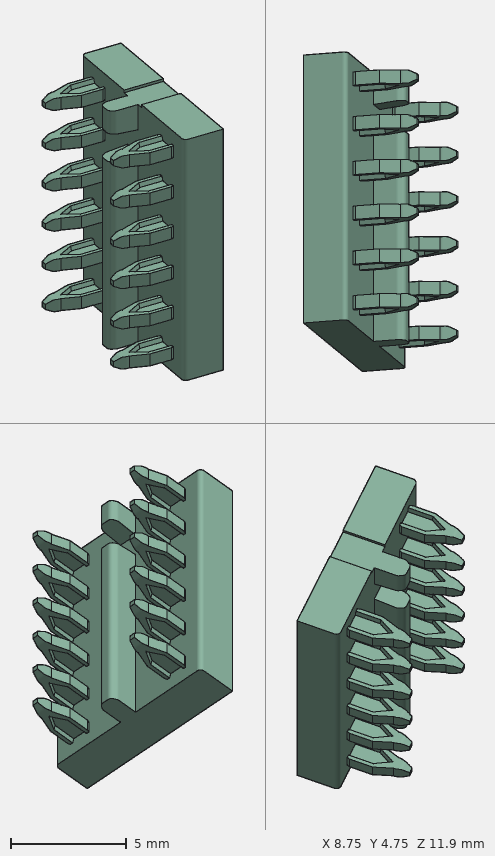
import cadquery as cq

WIDTH = 8.75
HEIGHT = 11.95
TOTAL_DEPTH = 4.75
REAR_PAD = 0.02
BODY_DEPTH = 1.97
EDGE_RADIUS = 0.22
NOTCH_WIDTH = 1.48
NOTCH_DEPTH = 0.13

PIN_ROWS = 6
PIN_PITCH = 2.0
COLUMN_SPACING = 5.83
PIN_WIDTH = 1.2
PIN_THICKNESS = 0.6
PIN_LENGTH = TOTAL_DEPTH - REAR_PAD - BODY_DEPTH
EMBED = 0.12
ROOT_WIDTH = 1.11
ROOT_LENGTH = 0.12
SHOULDER_AT = 1.2
NECK_AT = 2.05
NECK_WIDTH = 0.6
NECK_END_AT = 2.15
TIP_WIDTH = 0.27
TIP_THICKNESS = 0.25
TIP_SLOPE_AT = 2.39
TIP_RADIUS = 0.3

RECESS_WIDTH = 0.84
RECESS_DEPTH = 0.2
RECESS_WALL_RUN = 0.07
RECESS_POINT_RUN = 0.14
RECESS_SHOULDER_AT = 1.16
RECESS_POINT_AT = 1.9

RIB_WIDTH = 0.91
RIB_HEIGHT = 1.4
RIB_BEVEL_RUN = 0.15
RIB_BEVEL_DROP = 0.31
RIB_RADIUS = 0.24
RIB_END_DRAFT = 0.12
UPPER_RIB_LENGTH = 1.25
RIB_GAP = 1.16

TOP = HEIGHT / 2
COLUMN_XS = (-COLUMN_SPACING / 2, COLUMN_SPACING / 2)
ROW_ZS = [PIN_PITCH * (row - (PIN_ROWS - 1) / 2) for row in range(PIN_ROWS)]


def make_body():
    """Block with a shallow notch across its top and a thin pad behind the pins."""
    body = cq.Workplane("XY").box(WIDTH, BODY_DEPTH, HEIGHT).translate((0, BODY_DEPTH / 2, 0))
    body = body.edges("|Z and <Y").fillet(EDGE_RADIUS)
    notch = cq.Workplane("XY").box(NOTCH_WIDTH, 3 * BODY_DEPTH, 2 * NOTCH_DEPTH).translate((0, 0, TOP))
    pad_width = COLUMN_SPACING + PIN_WIDTH
    pad_height = PIN_PITCH * (PIN_ROWS - 1) + PIN_WIDTH
    pad = cq.Workplane("XY").box(pad_width, 2 * REAR_PAD, pad_height).translate((0, BODY_DEPTH, 0))
    return body.cut(notch).union(pad)


def make_rib(root_low, root_high, draft_low, draft_high):
    """Rib between two heights; each end leans inward by its draft at the crest."""
    side = [
        (EMBED, root_low),
        (0, root_low),
        (-RIB_HEIGHT, root_low + draft_low),
        (-RIB_HEIGHT, root_high - draft_high),
        (0, root_high),
        (EMBED, root_high),
    ]
    blank = cq.Workplane("YZ").polyline(side).close().extrude(RIB_WIDTH / 2, both=True)
    half_width = RIB_WIDTH / 2
    bevel_y = RIB_BEVEL_DROP - RIB_HEIGHT
    crest_half = half_width - RIB_BEVEL_RUN
    section = [
        (half_width, EMBED),
        (half_width, bevel_y),
        (crest_half, -RIB_HEIGHT),
        (-crest_half, -RIB_HEIGHT),
        (-half_width, bevel_y),
        (-half_width, EMBED),
    ]
    rounded = (
        cq.Workplane("XY")
        .workplane(offset=root_low)
        .polyline(section)
        .close()
        .extrude(root_high - root_low)
        .edges("|Z")
        .edges("not >Y")
        .fillet(RIB_RADIUS)
    )
    return blank.intersect(rounded)


def make_recess(floor_z, face_z):
    """Pointed pocket that widens from its floor to the flat face of the pin."""

    def outline(half_width, point):
        return [
            (-half_width, EMBED),
            (-half_width, -RECESS_SHOULDER_AT),
            (0, -point),
            (half_width, -RECESS_SHOULDER_AT),
            (half_width, EMBED),
        ]

    top_half = RECESS_WIDTH / 2
    floor_half = top_half - RECESS_WALL_RUN
    floor_point = RECESS_POINT_AT - RECESS_POINT_RUN
    return (
        cq.Workplane("XY")
        .workplane(offset=floor_z)
        .polyline(outline(floor_half, floor_point))
        .close()
        .workplane(offset=face_z - floor_z)
        .polyline(outline(top_half, RECESS_POINT_AT))
        .close()
        .loft(ruled=True)
    )


def at_depth(depth):
    """Selector for the edges whose centre is at this distance in front of the housing."""
    slack = 0.001
    reach = 2 * PIN_WIDTH
    return cq.selectors.BoxSelector((-reach, -depth - slack, -reach), (reach, -depth + slack, reach))


def make_pin():
    """Blade pointing to -Y, tapered in width and thickness, recessed on both faces."""
    half_outline = [
        (ROOT_WIDTH / 2, EMBED),
        (ROOT_WIDTH / 2, 0),
        (PIN_WIDTH / 2, -ROOT_LENGTH),
        (PIN_WIDTH / 2, -SHOULDER_AT),
        (NECK_WIDTH / 2, -NECK_AT),
        (NECK_WIDTH / 2, -NECK_END_AT),
        (TIP_WIDTH / 2, -PIN_LENGTH),
    ]
    mirrored = [(-x, y) for x, y in reversed(half_outline)]
    blade = (
        cq.Workplane("XY").polyline(half_outline + mirrored).close().extrude(PIN_THICKNESS / 2, both=True)
    )
    blade = blade.edges(at_depth(NECK_END_AT)).fillet(TIP_RADIUS)
    side = [
        (EMBED, PIN_THICKNESS / 2),
        (-TIP_SLOPE_AT, PIN_THICKNESS / 2),
        (-PIN_LENGTH, TIP_THICKNESS / 2),
        (-PIN_LENGTH, -TIP_THICKNESS / 2),
        (-TIP_SLOPE_AT, -PIN_THICKNESS / 2),
        (EMBED, -PIN_THICKNESS / 2),
    ]
    thinned = cq.Workplane("YZ").polyline(side).close().extrude(PIN_WIDTH, both=True)
    thinned = thinned.edges(at_depth(TIP_SLOPE_AT)).fillet(TIP_RADIUS)
    upper_recess = make_recess(PIN_THICKNESS / 2 - RECESS_DEPTH, PIN_THICKNESS / 2)
    lower_recess = upper_recess.mirror("XY")
    return blade.intersect(thinned).cut(upper_recess).cut(lower_recess)


notch_floor = TOP - NOTCH_DEPTH
upper_rib_low = notch_floor - UPPER_RIB_LENGTH
lower_rib_high = upper_rib_low - RIB_GAP

result = make_body()
result = result.union(make_rib(upper_rib_low, notch_floor, RIB_END_DRAFT, 0))
result = result.union(make_rib(-TOP, lower_rib_high, 0, RIB_END_DRAFT))
pin = make_pin()
for x in COLUMN_XS:
    for z in ROW_ZS:
        result = result.union(pin.translate((x, 0, z)))